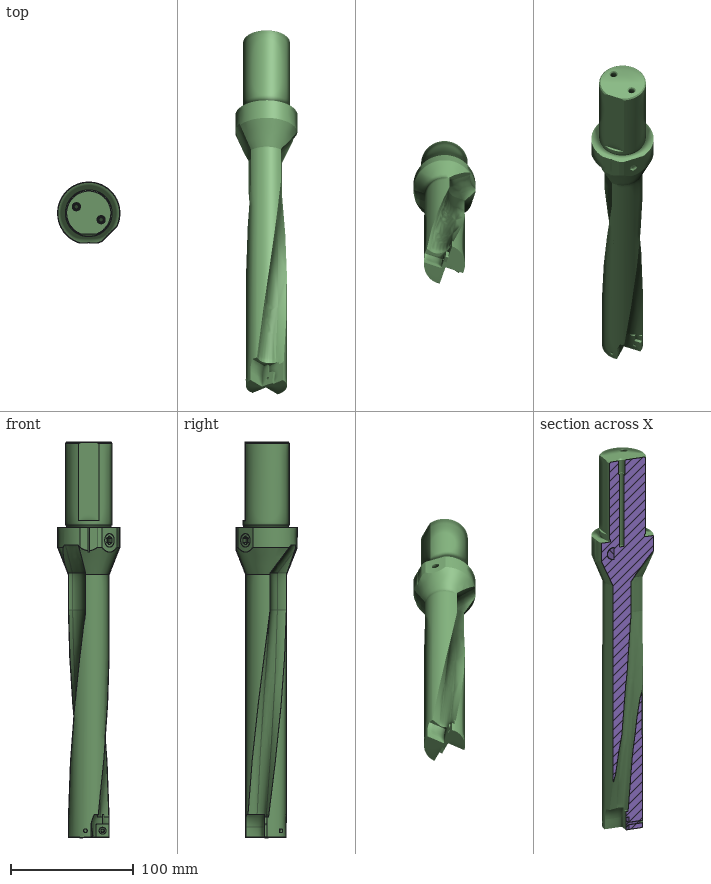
import cadquery as cq
import math

total_length = 322.89
drill_radius = 16.7
cone_bottom_z = 215.0
collar_radius = 25.4
collar_bottom_z = 237.0
collar_top_z = 253.5
shank_radius = 19.05
shank_chamfer = 1.0

undercut_height = 1.8
undercut_radius = shank_radius - 0.7

shank_flat_y = -17.1
shank_flat_bottom_z = 259.0

front_flat_distance = 24.4
port_flat_distance = 23.9
front_angle = -90.0
port_flat_angle = -45.0
index_groove_width = 1.0
index_groove_depth = 0.5

coolant_hole_x = 10.1
coolant_hole_y = -5.3
coolant_bore_diameter = 3.6
coolant_bore_depth = 75.0
coolant_mouth_diameter = 5.0
coolant_mouth_depth = 12.0
coolant_chamfer = 0.8

plug_z = 242.8
plug_diameter = 11.0
plug_length = 8.0
plug_socket_size = 6.0
plug_socket_depth = 5.0

flute_bottom_z = 17.0
twist_end_z = 186.0
twist_per_mm = 0.44
flute_wall_x = -2.6
inner_flute_floor_y = 1.4
inner_flute_corner_radius = 10.6
outer_flute_floor_y = -3.2
outer_flute_corner_radius = 6.0
flute_outer_reach = drill_radius + 2.0

runout_bottom_z = 216.0
runout_top_z = 239.0
runout_slope_x = -0.25
runout_slope_y = -0.75

rake_offset = 1.5
outer_pocket_wall_x = 1.9
inner_pocket_wall_x = -3.5
pocket_straight_height = 9.0
pocket_height = 19.0
pocket_shift = 2.6

insert_size = 10.8
insert_thickness = 2.4
insert_corner_radius = 0.8
outer_insert_x = 11.3
inner_insert_x = 2.7
inner_insert_tilt = 8.0
seat_y = insert_thickness - rake_offset
screw_diameter = 3.0
screw_head_diameter = 5.6
screw_head_height = 1.6
screw_end_gap = 1.0
screw_socket_size = 2.4
screw_socket_depth = 1.0

corner_center_offset = insert_size / 2 - insert_corner_radius
tilt_radians = math.radians(inner_insert_tilt)
tilt_reach = corner_center_offset * (math.cos(tilt_radians) + math.sin(tilt_radians))
insert_z = tilt_reach + insert_corner_radius
drill_end_z = insert_z - insert_size / 2

cut_margin = 5.0
half_turn = 180.0


def make_blank():
    undercut_top_z = collar_top_z + undercut_height
    return (
        cq.Workplane("XZ")
        .moveTo(0, drill_end_z)
        .lineTo(drill_radius, drill_end_z)
        .lineTo(drill_radius, cone_bottom_z)
        .lineTo(collar_radius, collar_bottom_z)
        .lineTo(collar_radius, collar_top_z)
        .lineTo(undercut_radius, collar_top_z)
        .lineTo(undercut_radius, undercut_top_z)
        .lineTo(shank_radius, undercut_top_z)
        .lineTo(shank_radius, total_length - shank_chamfer)
        .lineTo(shank_radius - shank_chamfer, total_length)
        .lineTo(0, total_length)
        .close()
        .revolve(360, (0, 0, 0), (0, 1, 0))
    )


def flat_cutter(distance, angle, bottom_z, top_z):
    """Block that leaves a flat at a distance from the axis, facing the given angle."""
    depth = collar_radius
    return (
        cq.Workplane("XY", origin=(0, 0, bottom_z))
        .center(distance + depth / 2, 0)
        .rect(depth, 2 * collar_radius)
        .extrude(top_z - bottom_z)
        .rotate((0, 0, 0), (0, 0, 1), angle)
    )


def index_groove():
    return (
        cq.Workplane("XY", origin=(0, -front_flat_distance, cone_bottom_z))
        .rect(index_groove_width, 2 * index_groove_depth)
        .extrude(collar_top_z - cone_bottom_z)
    )


def flute_section(z, floor_y, corner_radius):
    corner_x = flute_wall_x - corner_radius
    corner_y = floor_y - corner_radius
    diagonal = corner_radius / math.sqrt(2)
    return (
        cq.Workplane("XY", origin=(0, 0, z))
        .moveTo(-flute_outer_reach, floor_y)
        .lineTo(corner_x, floor_y)
        .threePointArc((corner_x + diagonal, corner_y + diagonal), (flute_wall_x, corner_y))
        .lineTo(flute_wall_x, -flute_outer_reach)
        .lineTo(-flute_outer_reach, -flute_outer_reach)
        .close()
    )


def flute_cutters(floor_y, corner_radius):
    """Helical stretch, straight stretch and the run-out of one flute, which slants outwards."""
    twist_length = twist_end_z - flute_bottom_z
    twist = twist_per_mm * twist_length
    helical = (
        flute_section(0, floor_y, corner_radius)
        .twistExtrude(twist_length, twist)
        .rotate((0, 0, 0), (0, 0, 1), -twist)
        .translate((0, 0, flute_bottom_z))
    )
    straight = flute_section(twist_end_z, floor_y, corner_radius).extrude(runout_bottom_z - twist_end_z)

    rise = runout_top_z - runout_bottom_z
    shift = (runout_slope_x * rise, runout_slope_y * rise)
    section_wire = flute_section(runout_bottom_z, floor_y, corner_radius).wires().val()
    slanted = cq.Solid.extrudeLinear(section_wire, [], cq.Vector(*shift, rise))
    return [helical, straight, cq.Workplane(slanted)]


def pocket_cutter(wall_x):
    outside_x = drill_radius + cut_margin
    bend_x = wall_x + pocket_shift / 4
    bend_z = (pocket_straight_height + pocket_height) / 2
    return (
        cq.Workplane("XZ", origin=(0, -rake_offset, 0))
        .moveTo(wall_x, -cut_margin)
        .lineTo(wall_x, pocket_straight_height)
        .threePointArc((bend_x, bend_z), (wall_x + pocket_shift, pocket_height))
        .lineTo(outside_x, pocket_height)
        .lineTo(outside_x, -cut_margin)
        .close()
        .extrude(drill_radius)
    )


def seat_recess(center_x):
    """Recess at seat depth, outward of the insert centre and up past the insert."""
    width = drill_radius + cut_margin - center_x
    return (
        cq.Workplane("XZ", origin=(center_x, seat_y, 0))
        .rect(width, pocket_height, centered=False)
        .extrude(drill_radius)
    )


def insert_blank(center_x, tilt):
    """Square insert, tilted about its screw so that its outward lower corner drops."""
    return (
        cq.Workplane("XZ", origin=(center_x, seat_y, insert_z))
        .transformed(rotate=(0, 0, -tilt))
        .rect(insert_size, insert_size)
        .extrude(insert_thickness)
        .edges("|Y")
        .fillet(insert_corner_radius)
    )


def screw_blank(center_x):
    """Countersunk screw: head flush with the rake face, shaft ending just below the drill surface."""
    screw_end_y = math.sqrt(drill_radius**2 - center_x**2) - screw_end_gap
    shaft_radius = screw_diameter / 2
    head_radius = screw_head_diameter / 2
    length = screw_end_y + rake_offset
    return (
        cq.Workplane("XY")
        .moveTo(0, 0)
        .lineTo(head_radius, 0)
        .lineTo(shaft_radius, screw_head_height)
        .lineTo(shaft_radius, length)
        .lineTo(0, length)
        .close()
        .revolve(360, (0, 0, 0), (0, 1, 0))
        .translate((center_x, -rake_offset, insert_z))
    )


def screw_hole(center_x):
    """Hole that runs along the screw axis and out through the drill surface."""
    return (
        cq.Workplane("XZ", origin=(center_x, 0, insert_z))
        .circle(screw_diameter / 2)
        .extrude(-(drill_radius + cut_margin))
    )


def screw_socket(center_x):
    return (
        cq.Workplane("XZ", origin=(center_x, screw_socket_depth - rake_offset, insert_z))
        .polygon(6, screw_socket_size, circumscribed=True)
        .extrude(screw_socket_depth)
    )


def plug_plane(distance):
    """Workplane parallel to the port flat, with its normal pointing outwards."""
    x = math.cos(math.radians(port_flat_angle))
    y = math.sin(math.radians(port_flat_angle))
    return cq.Workplane(
        cq.Plane(origin=(x * distance, y * distance, plug_z), xDir=(-y, x, 0), normal=(x, y, 0))
    )


plug_blank = plug_plane(port_flat_distance - plug_length).circle(plug_diameter / 2).extrude(plug_length)
plug_socket = (
    plug_plane(port_flat_distance - plug_socket_depth)
    .polygon(6, plug_socket_size, circumscribed=True)
    .extrude(plug_socket_depth)
)
plug = plug_blank.cut(plug_socket)

body = make_blank()
body = body.cut(flat_cutter(-shank_flat_y, front_angle, shank_flat_bottom_z, total_length))
body = body.cut(flat_cutter(front_flat_distance, front_angle, cone_bottom_z, collar_top_z))
body = body.cut(flat_cutter(port_flat_distance, port_flat_angle, cone_bottom_z, collar_top_z))
body = body.cut(index_groove())
body = body.cut(plug_blank)

for side in (1, -1):
    hole_center = (side * coolant_hole_x, side * coolant_hole_y)
    hole = cq.Workplane("XY", origin=(0, 0, total_length)).center(*hole_center)
    body = body.cut(hole.circle(coolant_bore_diameter / 2).extrude(-coolant_bore_depth))
    body = body.cut(hole.circle(coolant_mouth_diameter / 2).extrude(-coolant_mouth_depth))
    countersink = cq.Solid.makeCone(
        coolant_mouth_diameter / 2 + coolant_chamfer,
        coolant_mouth_diameter / 2,
        coolant_chamfer,
        pnt=cq.Vector(*hole_center, total_length),
        dir=cq.Vector(0, 0, -1),
    )
    body = body.cut(cq.Workplane(countersink))

for cutter in flute_cutters(inner_flute_floor_y, inner_flute_corner_radius):
    body = body.cut(cutter)
for cutter in flute_cutters(outer_flute_floor_y, outer_flute_corner_radius):
    body = body.cut(cutter.rotate((0, 0, 0), (0, 0, 1), half_turn))

inserts = []
screws = []
stations = [
    (outer_insert_x, outer_pocket_wall_x, 0, 0),
    (inner_insert_x, inner_pocket_wall_x, inner_insert_tilt, half_turn),
]
for center_x, wall_x, tilt, turn in stations:
    screw = screw_blank(center_x)
    insert = insert_blank(center_x, tilt)
    for cutter in (pocket_cutter(wall_x), seat_recess(center_x), insert, screw_hole(center_x)):
        body = body.cut(cutter.rotate((0, 0, 0), (0, 0, 1), turn))
    insert = insert.cut(screw)
    screw = screw.cut(screw_socket(center_x))
    inserts.append(insert.rotate((0, 0, 0), (0, 0, 1), turn))
    screws.append(screw.rotate((0, 0, 0), (0, 0, 1), turn))

result = cq.Compound.makeCompound(
    [
        body.val(),
        plug.val(),
        *[insert.val() for insert in inserts],
        *[screw.val() for screw in screws],
    ]
)